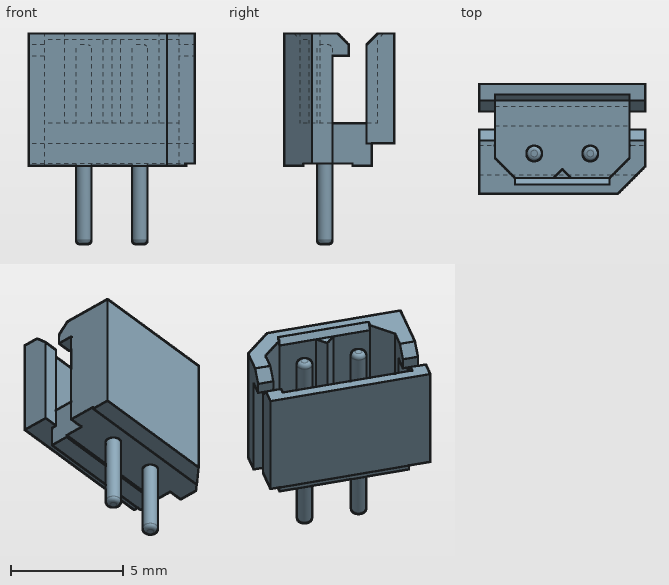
import cadquery as cq


half_width = 3.7
front_y = -1.8
back_y = 3.1
top_z = 5.9
corner_chamfer = 1.23

floor_z = 1.9
base_back_y = 2.1
foot_gap_front_y = -0.95
foot_gap_back_y = 1.23
foot_height = 0.1

cavity_half_width = 3.0
cavity_front_y = -1.1
cavity_back_y = 2.36
cavity_corner = 0.9
lead_in = 0.27

front_block_back_y = 0.35
hook_tip_y = 1.08
hook_height = 1.0
mouth_chamfer = 0.5
back_wall_front_y = 1.86
back_wall_bottom_z = 1.0

key_size = 0.4

pin_pitch = 2.5
pin_radius = 0.35
pin_bottom_z = -3.5
pin_top_z = 5.4
pin_tip_round = 0.2


def extrude_along_x(points, half_length):
    """Extrude a (Y, Z) outline symmetrically along X."""
    return cq.Workplane("YZ").polyline(points).close().extrude(half_length, both=True)


def box_between(x_range, y_range, z_range):
    """Box given by its limits along each axis."""
    size = [limits[1] - limits[0] for limits in (x_range, y_range, z_range)]
    corner = (x_range[0], y_range[0], z_range[0])
    return cq.Workplane("XY").box(*size, centered=False).translate(corner)


def make_front_block():
    """Front part of the housing with its hooks and the slanted corner."""
    block = extrude_along_x(
        [
            (front_y, 0),
            (front_block_back_y, 0),
            (front_block_back_y, top_z - hook_height),
            (hook_tip_y, top_z - hook_height),
            (hook_tip_y, top_z - mouth_chamfer),
            (hook_tip_y - mouth_chamfer, top_z),
            (front_y, top_z),
        ],
        half_width,
    )
    return block.edges("|Z and >X and <Y").chamfer(corner_chamfer)


def make_back_wall():
    """Back wall, bevelled along the mouth of the side openings."""
    return extrude_along_x(
        [
            (back_wall_front_y, back_wall_bottom_z),
            (back_y, back_wall_bottom_z),
            (back_y, top_z),
            (back_wall_front_y + mouth_chamfer, top_z),
            (back_wall_front_y, top_z - mouth_chamfer),
        ],
        half_width,
    )


def make_base():
    """Narrow base that joins the front block to the back wall."""
    return box_between(
        (-cavity_half_width, cavity_half_width), (front_block_back_y, base_back_y), (0, floor_z)
    )


def make_cavity():
    """Cavity volume, with bevelled front corners."""
    cavity = box_between(
        (-cavity_half_width, cavity_half_width), (cavity_front_y, cavity_back_y), (floor_z, top_z)
    )
    return cavity.edges("|Z and <Y").chamfer(cavity_corner)


def make_lead_in(wall_y, outward, half_length):
    """Wedge that bevels a cavity wall at the mouth; outward is the Y sense into the wall."""
    return extrude_along_x(
        [
            (wall_y, top_z - lead_in),
            (wall_y + outward * lead_in, top_z),
            (wall_y, top_z),
        ],
        half_length,
    )


def make_foot_gap():
    """Shallow groove across the underside."""
    return box_between(
        (-half_width, half_width), (foot_gap_front_y, foot_gap_back_y), (0, foot_height)
    )


def make_key():
    """Triangular key rib, from the floor up to the lead-in bevel."""
    outline = [
        (-key_size, cavity_front_y),
        (key_size, cavity_front_y),
        (0, cavity_front_y + key_size),
    ]
    key_height = top_z - lead_in - floor_z
    return cq.Workplane("XY").workplane(offset=floor_z).polyline(outline).close().extrude(key_height)


def make_pin(x):
    """Round pin with rounded tips."""
    pin = cq.Workplane("XY").workplane(offset=pin_bottom_z).circle(pin_radius)
    pin = pin.extrude(pin_top_z - pin_bottom_z)
    return pin.faces("<Z or >Z").edges().fillet(pin_tip_round).translate((x, 0, 0))


front_lead_in_half_length = cavity_half_width - cavity_corner

housing = make_front_block().union(make_base()).union(make_back_wall())
housing = housing.cut(make_cavity())
housing = housing.cut(make_lead_in(cavity_front_y, -1, front_lead_in_half_length))
housing = housing.cut(make_lead_in(cavity_back_y, 1, cavity_half_width))
housing = housing.cut(make_foot_gap())
housing = housing.union(make_key())

result = housing
for side in (-1, 1):
    result = result.union(make_pin(side * pin_pitch / 2))